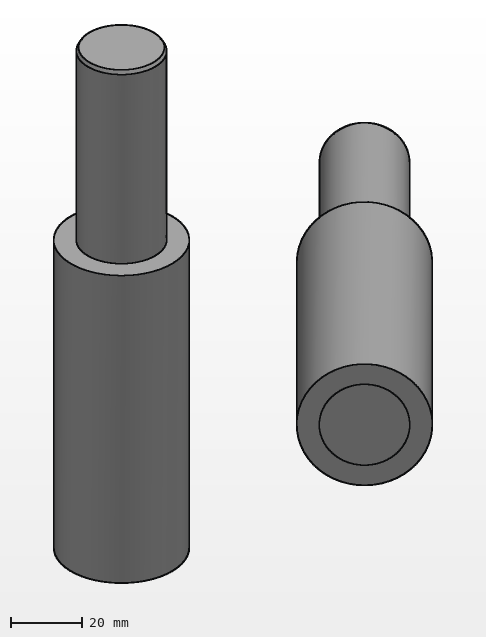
import cadquery as cq

TOTAL_LENGTH = 165.1
SLEEVE_DIAMETER = 38.1
SLEEVE_LENGTH = 101.5
PIN_DIAMETER = 25.5
PIN_CHAMFER_HEIGHT = 1.2
PIN_CHAMFER_WIDTH = 0.7


def make_sleeve():
    """Cylindrical sleeve with a through bore that fits the pin."""
    return (
        cq.Workplane("XY")
        .circle(SLEEVE_DIAMETER / 2)
        .circle(PIN_DIAMETER / 2)
        .extrude(SLEEVE_LENGTH)
    )


def make_pin():
    """Straight pin that fills the bore and stands out above the sleeve, chamfered at its top."""
    return (
        cq.Workplane("XY")
        .circle(PIN_DIAMETER / 2)
        .extrude(TOTAL_LENGTH)
        .faces(">Z")
        .chamfer(PIN_CHAMFER_HEIGHT, PIN_CHAMFER_WIDTH)
    )


sleeve = make_sleeve()
pin = make_pin()

result = cq.Compound.makeCompound([sleeve.val(), pin.val()])